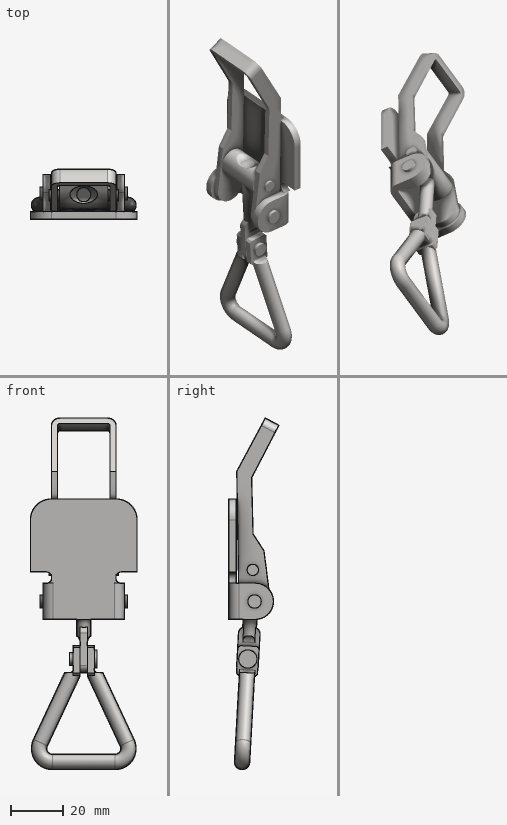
import cadquery as cq
import math


PLATE_WIDTH = 41.0
PLATE_THICKNESS = 3.0
PLATE_TOP = 103.8
WING_BOTTOM = 75.7
WING_CORNER_RADIUS = 8.1
EAR_TOP = 71.4
EAR_BOTTOM = 57.5
EAR_OUTER_X = 15.6
EAR_INNER_X = EAR_OUTER_X - PLATE_THICKNESS
EAR_DEPTH = 17.2
EAR_BEND_RADIUS = 3.9
RELIEF_RADIUS = (WING_BOTTOM - EAR_TOP) / 2
RELIEF_INNER_X = 12.3

LEVER_HALF_WIDTH = 12.4
ARM_THICKNESS = 2.4
ARM_INNER_X = LEVER_HALF_WIDTH - ARM_THICKNESS
GRIP_ANGLE = math.radians(28.2)
GRIP_WIDTH = 5.9
GRIP_CORNER_RADIUS = 3.2
LEVER_TOP = 134.8
GRIP_BEND = (3.1, 114.3)
GRIP_REAR_BEND = (8.9, 111.9)
SHOULDER_TOP = (9.5, 90.3)
SHOULDER_BOTTOM = (13.6, 83.8)
LEVER_END_RADIUS = 6.0

RIVET_Y = 10.0
RIVET_Z = 64.4
RIVET_RADIUS = 2.5
RIVET_OUTER_X = 16.8

TRUNNION_Y = 9.3
TRUNNION_Z = 76.5
TRUNNION_RADIUS = 5.3
TRUNNION_HALF_LENGTH = 9.3
JOURNAL_RADIUS = 2.2
JOURNAL_END_X = 13.3
SINK_RADIUS = 5.3
SINK_DEPTH = 1.6
ROD_TOP = TRUNNION_RADIUS - SINK_DEPTH

LINK_TILT = 3.2
ROD_RADIUS = 2.7
TONGUE_TOP = -22.0
TONGUE_BOTTOM = -39.5
TONGUE_THICKNESS = 2.8
TONGUE_WIDTH = 8.4
TONGUE_CORNER_RADIUS = 2.5
ROD_BOTTOM = -27.8
ROD_RUNOUT_RADIUS = 3.0

CLEVIS_PIN_Z = -34.2
CLEVIS_PIN_RADIUS = 2.5
CLEVIS_PIN_TAIL_X = -5.5
PIN_HEAD_RADIUS = 3.5
PIN_HEAD_END_X = 5.1

WIRE_RADIUS = 3.0
BAIL_HALF_BASE = 12.0
BAIL_BEND_RADIUS = 5.1
LEG_ANGLE = math.radians(25)
LEG_TOP = -39.5
CLEVIS_HALF_WIDTH = 4.0
CLEVIS_DEPTH = 8.1
CLEVIS_TOP = -29.2
CLEVIS_BOTTOM = -40.7
CLEVIS_CHAMFER = 0.8
LEG_FILLET = 1.1


def rod_along_x(radius, start_x, end_x, y, z):
    """Round bar parallel to X."""
    return cq.Workplane("YZ", origin=(start_x, y, z)).circle(radius).extrude(end_x - start_x)


def block(width, bottom, top, front, back):
    """Box centred on X = 0, between two heights and two Y values."""
    return (
        cq.Workplane("XY", origin=(0, front, bottom))
        .box(width, back - front, top - bottom, centered=(True, False, False))
    )


def place_link(body):
    """Tilt a link body about X and hang it on the trunnion axis."""
    return body.rotate((0, 0, 0), (1, 0, 0), -LINK_TILT).translate((0, TRUNNION_Y, TRUNNION_Z))


def both_sides(body):
    """Join a half body with its mirror image across X = 0."""
    return body.union(body.mirror("YZ"))


def make_base():
    wings = (
        block(PLATE_WIDTH, WING_BOTTOM, PLATE_TOP, 0, PLATE_THICKNESS)
        .edges("|Y and >Z")
        .fillet(WING_CORNER_RADIUS)
    )

    channel_outside = (
        block(2 * EAR_OUTER_X, EAR_BOTTOM, EAR_TOP, 0, EAR_DEPTH)
        .edges("|Z and <Y")
        .fillet(EAR_BEND_RADIUS)
    )
    channel_inside = (
        block(2 * EAR_INNER_X, EAR_BOTTOM, EAR_TOP, PLATE_THICKNESS, EAR_DEPTH)
        .edges("|Z and <Y")
        .fillet(EAR_BEND_RADIUS - PLATE_THICKNESS)
    )
    ear_radius = (EAR_TOP - EAR_BOTTOM) / 2
    ear_centre_y = EAR_DEPTH - ear_radius
    ear_shape = block(2 * EAR_OUTER_X, EAR_BOTTOM, EAR_TOP, 0, ear_centre_y).union(
        rod_along_x(ear_radius, -EAR_OUTER_X, EAR_OUTER_X, ear_centre_y, EAR_BOTTOM + ear_radius)
    )
    channel = channel_outside.cut(channel_inside).intersect(ear_shape)

    relief_x = RELIEF_INNER_X + RELIEF_RADIUS
    neck = block(2 * relief_x, EAR_TOP, WING_BOTTOM, 0, PLATE_THICKNESS)
    reliefs = (
        cq.Workplane("XZ", origin=(0, 0, EAR_TOP + RELIEF_RADIUS))
        .pushPoints([(-relief_x, 0), (relief_x, 0)])
        .circle(RELIEF_RADIUS)
        .extrude(-PLATE_THICKNESS)
    )
    base = wings.union(neck.cut(reliefs)).union(channel)
    return base.cut(rod_along_x(RIVET_RADIUS, -EAR_OUTER_X, EAR_OUTER_X, RIVET_Y, RIVET_Z))


def lever_end_tangent(point, side):
    """Point where a line from `point` touches the round lever end; side is -1 for -Y, +1 for +Y."""
    offset_y = point[0] - RIVET_Y
    offset_z = point[1] - RIVET_Z
    angle = math.atan2(offset_z, offset_y)
    angle -= side * math.acos(LEVER_END_RADIUS / math.hypot(offset_y, offset_z))
    return (RIVET_Y + LEVER_END_RADIUS * math.cos(angle), RIVET_Z + LEVER_END_RADIUS * math.sin(angle))


def make_lever():
    tip_front = (
        GRIP_BEND[0] + (LEVER_TOP - GRIP_BEND[1]) * math.tan(GRIP_ANGLE),
        LEVER_TOP,
    )
    tip_back = (
        tip_front[0] + GRIP_WIDTH * math.cos(GRIP_ANGLE),
        tip_front[1] - GRIP_WIDTH * math.sin(GRIP_ANGLE),
    )
    side_profile = (
        cq.Workplane("YZ", origin=(-LEVER_HALF_WIDTH, 0, 0))
        .moveTo(*tip_front)
        .lineTo(*GRIP_BEND)
        .lineTo(*lever_end_tangent(GRIP_BEND, -1))
        .threePointArc((RIVET_Y, RIVET_Z - LEVER_END_RADIUS), lever_end_tangent(SHOULDER_BOTTOM, 1))
        .lineTo(*SHOULDER_BOTTOM)
        .lineTo(*SHOULDER_TOP)
        .lineTo(*GRIP_REAR_BEND)
        .lineTo(*tip_back)
        .close()
        .extrude(2 * LEVER_HALF_WIDTH)
    )

    grip_plane = cq.Plane(
        origin=(0, tip_front[0], tip_front[1]),
        xDir=(1, 0, 0),
        normal=(0, -math.cos(GRIP_ANGLE), math.sin(GRIP_ANGLE)),
    )
    reach = LEVER_TOP
    blank = (
        cq.Workplane(grip_plane)
        .center(0, -reach / 2)
        .rect(2 * LEVER_HALF_WIDTH, reach)
        .extrude(reach, both=True)
        .edges(cq.selectors.ParallelDirSelector(grip_plane.zDir))
        .fillet(GRIP_CORNER_RADIUS)
    )
    window = (
        cq.Workplane(grip_plane)
        .center(0, -ARM_THICKNESS - reach / 2)
        .rect(2 * ARM_INNER_X, reach)
        .extrude(reach, both=True)
        .edges(cq.selectors.ParallelDirSelector(grip_plane.zDir))
        .fillet(GRIP_CORNER_RADIUS - ARM_THICKNESS)
    )
    lever = side_profile.intersect(blank).cut(window)
    lever = lever.cut(
        rod_along_x(RIVET_RADIUS, -LEVER_HALF_WIDTH, LEVER_HALF_WIDTH, RIVET_Y, RIVET_Z)
    )
    return lever.cut(
        rod_along_x(JOURNAL_RADIUS, -LEVER_HALF_WIDTH, LEVER_HALF_WIDTH, TRUNNION_Y, TRUNNION_Z)
    )


def make_rivet(side):
    """Rivet through one ear and one lever arm; side is -1 or +1 along X."""
    return rod_along_x(RIVET_RADIUS, side * ARM_INNER_X, side * RIVET_OUTER_X, RIVET_Y, RIVET_Z)


def make_trunnion():
    barrel = rod_along_x(TRUNNION_RADIUS, -TRUNNION_HALF_LENGTH, TRUNNION_HALF_LENGTH, 0, 0)
    journals = rod_along_x(JOURNAL_RADIUS, -JOURNAL_END_X, JOURNAL_END_X, 0, 0)
    rod_hole = cq.Workplane("XY").circle(ROD_RADIUS).extrude(TRUNNION_RADIUS, both=True)
    countersink = (
        cq.Workplane("XY", origin=(0, 0, ROD_TOP))
        .circle(ROD_RADIUS)
        .workplane(offset=SINK_DEPTH)
        .circle(SINK_RADIUS)
        .loft()
    )
    return place_link(barrel.union(journals).cut(rod_hole).cut(countersink))


def make_draw_rod():
    rod = cq.Workplane("XY", origin=(0, 0, ROD_BOTTOM)).circle(ROD_RADIUS).extrude(ROD_TOP - ROD_BOTTOM)
    runout_x = TONGUE_THICKNESS / 2 + ROD_RUNOUT_RADIUS
    runouts = (
        cq.Workplane("XZ", origin=(0, ROD_RADIUS, ROD_BOTTOM))
        .pushPoints([(-runout_x, 0), (runout_x, 0)])
        .circle(ROD_RUNOUT_RADIUS)
        .extrude(2 * ROD_RADIUS)
    )
    tongue = (
        block(TONGUE_THICKNESS, TONGUE_BOTTOM, TONGUE_TOP, -TONGUE_WIDTH / 2, TONGUE_WIDTH / 2)
        .edges("|X")
        .fillet(TONGUE_CORNER_RADIUS)
    )
    draw_rod = rod.cut(runouts).union(tongue)
    return place_link(draw_rod.cut(clevis_pin_shank()))


def clevis_pin_shank():
    return rod_along_x(CLEVIS_PIN_RADIUS, CLEVIS_PIN_TAIL_X, PIN_HEAD_END_X, 0, CLEVIS_PIN_Z)


def make_clevis_pin():
    head = rod_along_x(PIN_HEAD_RADIUS, CLEVIS_HALF_WIDTH, PIN_HEAD_END_X, 0, CLEVIS_PIN_Z)
    return place_link(clevis_pin_shank().union(head))


def make_bail():
    base_z = -(TRUNNION_Z - WIRE_RADIUS) / math.cos(math.radians(LINK_TILT))
    bend_z = base_z + BAIL_BEND_RADIUS
    sin_leg = math.sin(LEG_ANGLE)
    cos_leg = math.cos(LEG_ANGLE)
    bend_x = BAIL_HALF_BASE + BAIL_BEND_RADIUS * cos_leg
    bend_end_z = bend_z + BAIL_BEND_RADIUS * sin_leg
    bend_middle_angle = (math.pi / 2 - LEG_ANGLE) / 2
    bend_middle_x = BAIL_HALF_BASE + BAIL_BEND_RADIUS * math.cos(bend_middle_angle)
    bend_middle_z = bend_z - BAIL_BEND_RADIUS * math.sin(bend_middle_angle)
    leg_end_z = CLEVIS_PIN_Z
    leg_end_x = bend_x - (leg_end_z - bend_end_z) * math.tan(LEG_ANGLE)

    half_path = (
        cq.Workplane("XZ")
        .moveTo(0, base_z)
        .lineTo(-BAIL_HALF_BASE, base_z)
        .threePointArc((-bend_middle_x, bend_middle_z), (-bend_x, bend_end_z))
        .lineTo(-leg_end_x, leg_end_z)
    )
    half_wire = cq.Workplane("YZ", origin=(0, 0, base_z)).circle(WIRE_RADIUS).sweep(half_path)

    above_leg = block(PLATE_WIDTH, LEG_TOP, 0, -CLEVIS_DEPTH, CLEVIS_DEPTH)
    blend_x = -CLEVIS_HALF_WIDTH - LEG_FILLET
    blend = (
        cq.Workplane("XZ", origin=(0, WIRE_RADIUS, 0))
        .moveTo(-CLEVIS_HALF_WIDTH, LEG_TOP)
        .lineTo(blend_x, LEG_TOP)
        .radiusArc((-CLEVIS_HALF_WIDTH, LEG_TOP + LEG_FILLET), -LEG_FILLET)
        .close()
        .extrude(2 * WIRE_RADIUS)
        .intersect(half_wire)
    )
    ring = both_sides(half_wire.cut(above_leg).union(blend))

    cheeks = (
        block(2 * CLEVIS_HALF_WIDTH, CLEVIS_BOTTOM, CLEVIS_TOP, -CLEVIS_DEPTH / 2, CLEVIS_DEPTH / 2)
        .edges("|X")
        .chamfer(CLEVIS_CHAMFER)
    )
    slot = block(TONGUE_THICKNESS, CLEVIS_BOTTOM - CLEVIS_DEPTH, CLEVIS_TOP, -CLEVIS_DEPTH, CLEVIS_DEPTH)
    bail = ring.union(cheeks).cut(slot)
    return place_link(bail.cut(clevis_pin_shank()))


base = make_base()
lever = make_lever()
rivets = [make_rivet(side) for side in (-1, 1)]
trunnion = make_trunnion()
draw_rod = make_draw_rod()
clevis_pin = make_clevis_pin()
bail = make_bail()

result = cq.Compound.makeCompound(
    [
        base.val(),
        lever.val(),
        *[rivet.val() for rivet in rivets],
        trunnion.val(),
        draw_rod.val(),
        clevis_pin.val(),
        bail.val(),
    ]
)